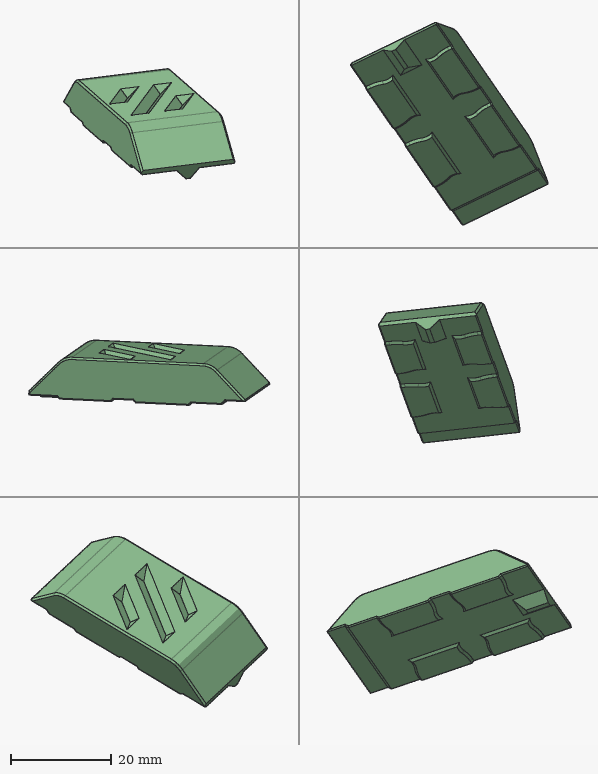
import cadquery as cq
import math

LENGTH = 44.55
WIDTH = 20.0
BODY_HEIGHT = 8.1
CREST_RADIUS = 4.0
TIP_FACE_HEIGHT = 0.37
TAIL_FACE_HEIGHT = 0.9
STEP_HEIGHT = 0.8
STEP_LENGTH = 3.9

TOP_CHAMFER = 0.4
BOTTOM_CHAMFER = 0.25

PEG_DEPTH = 1.99
PEG_TOP_WIDTH = 4.9
PEG_TOP_LENGTH = 6.95

PAD_DEPTH = 0.5
PAD_WIDTH = 6.25
PAD_ENDS = ((11.0, 23.05), (27.05, 38.75))
PAD_OVERHANG = 2.0
NOSE_Y = 1.0
HOLLOW_Y = 4.8
HOLLOW_DIAMETER = 6.1
BLEND_Y = 3.75

GROOVE_OPENING = 3.85
GROOVE_DEPTH = 1.58
GROOVE_FALL = 0.682
GROOVE_LEFT_X = -6.25
GROOVE_MIDDLE_X = 1.57
GROOVE_RIGHT_X = 9.4
GROOVES = (
    (GROOVE_MIDDLE_X, GROOVE_RIGHT_X, 9.0),
    (GROOVE_LEFT_X, GROOVE_RIGHT_X, 7.2),
    (GROOVE_LEFT_X, GROOVE_MIDDLE_X, 0.2),
)

WALL_TAPER = 45
LEFT = -LENGTH / 2
RIGHT = LENGTH / 2
HALF_WIDTH = WIDTH / 2
TOLERANCE = 1e-3


def make_body():
    """Trapezoidal bar with rounded crests and a raised step under the -X tip."""
    tip_top = STEP_HEIGHT + TIP_FACE_HEIGHT
    outline = [
        (LEFT, STEP_HEIGHT),
        (LEFT + STEP_LENGTH, STEP_HEIGHT),
        (LEFT + STEP_LENGTH + STEP_HEIGHT, 0),
        (RIGHT, 0),
        (RIGHT, TAIL_FACE_HEIGHT),
        (RIGHT - (BODY_HEIGHT - TAIL_FACE_HEIGHT), BODY_HEIGHT),
        (LEFT + (BODY_HEIGHT - tip_top), BODY_HEIGHT),
        (LEFT, tip_top),
    ]
    bar = cq.Workplane("XZ").polyline(outline).close().extrude(HALF_WIDTH, both=True)
    return bar.faces(">Z").edges("|Y").fillet(CREST_RADIUS)


def trim_to_body(blank):
    """Remove whatever reaches past the ends or sides of the body."""
    envelope = cq.Workplane("XY").box(LENGTH, WIDTH, 2 * BODY_HEIGHT)
    return blank.intersect(envelope)


def make_pad(start, end):
    """Pad on the -Y side: each end is a straight lip and a convex nose running into a round hollow."""
    hollow_radius = HOLLOW_DIAMETER / 2
    blend_sine = (HOLLOW_Y - BLEND_Y) / hollow_radius
    blend_cosine = math.sqrt(1 - blend_sine**2)
    nose_radius = (BLEND_Y - NOSE_Y) / blend_sine
    hollow_offset = nose_radius - (nose_radius + hollow_radius) * blend_cosine

    def nose(y):
        return nose_radius - math.sqrt(nose_radius**2 - (y - NOSE_Y) ** 2)

    def hollow(y):
        return hollow_offset + math.sqrt(hollow_radius**2 - (y - HOLLOW_Y) ** 2)

    first = LEFT + start
    last = LEFT + end
    side = -HALF_WIDTH

    def at_first(depth, y):
        return (first + depth, side + y)

    def at_last(depth, y):
        return (last - depth, side + y)

    mid_nose_y = (NOSE_Y + BLEND_Y) / 2
    blend_depth = nose(BLEND_Y)
    inner_depth = hollow(PAD_WIDTH)
    blank = (
        cq.Workplane("XY")
        .moveTo(*at_first(0, -PAD_OVERHANG))
        .lineTo(*at_first(0, NOSE_Y))
        .threePointArc(at_first(nose(mid_nose_y), mid_nose_y), at_first(blend_depth, BLEND_Y))
        .threePointArc(at_first(hollow(HOLLOW_Y), HOLLOW_Y), at_first(inner_depth, PAD_WIDTH))
        .lineTo(*at_last(inner_depth, PAD_WIDTH))
        .threePointArc(at_last(hollow(HOLLOW_Y), HOLLOW_Y), at_last(blend_depth, BLEND_Y))
        .threePointArc(at_last(nose(mid_nose_y), mid_nose_y), at_last(0, NOSE_Y))
        .lineTo(*at_last(0, -PAD_OVERHANG))
        .close()
        .extrude(-PAD_DEPTH, taper=WALL_TAPER)
    )
    return trim_to_body(blank)


def add_pads(part):
    for start, end in PAD_ENDS:
        pad = make_pad(start, end)
        part = part.union(pad).union(pad.mirror("XZ"))
    return part


def chamfer_sides(part):
    """Chamfer the outline of both long sides: wider above, narrower below."""

    def side_edges(solid, upper):
        edges = []
        for edge in solid.edges().vals():
            box = edge.BoundingBox()
            on_side = abs(abs(edge.Center().y) - HALF_WIDTH) < TOLERANCE and box.ylen < TOLERANCE
            upright = box.xlen < TOLERANCE
            is_upper = edge.Center().z > STEP_HEIGHT + TOLERANCE
            if on_side and not upright and is_upper == upper:
                edges.append(edge)
        return solid.newObject(edges)

    part = side_edges(part, True).chamfer(TOP_CHAMFER)
    return side_edges(part, False).chamfer(BOTTOM_CHAMFER)


def make_peg():
    """Wedge peg with sloping walls on three sides, flush with the +X end."""
    blank = (
        cq.Workplane("XY")
        .center(RIGHT, 0)
        .rect(2 * PEG_TOP_LENGTH, PEG_TOP_WIDTH)
        .extrude(-PEG_DEPTH, taper=WALL_TAPER)
    )
    return trim_to_body(blank)


def make_groove(start_x, end_x, upper_y):
    """Cutter with a parallelogram opening that closes towards a ridge below."""
    fall = GROOVE_FALL * (end_x - start_x)
    opening = [
        (start_x, upper_y),
        (start_x, upper_y - GROOVE_OPENING),
        (end_x, upper_y - GROOVE_OPENING - fall),
        (end_x, upper_y - fall),
    ]
    top = cq.Workplane("XY").workplane(offset=BODY_HEIGHT)
    return top.polyline(opening).close().extrude(-GROOVE_DEPTH, taper=WALL_TAPER)


result = chamfer_sides(add_pads(make_body()))
result = result.union(make_peg())
for groove in GROOVES:
    result = result.cut(make_groove(*groove))